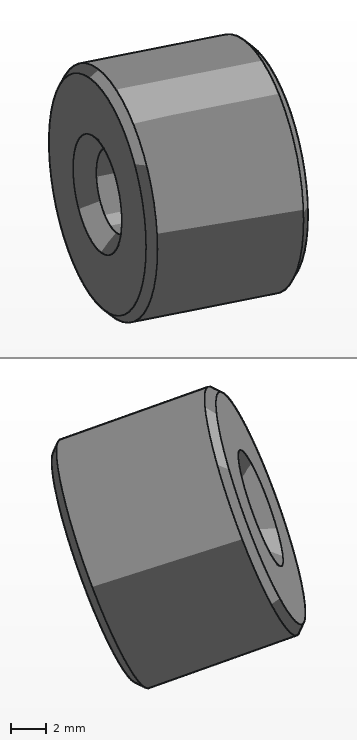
import cadquery as cq

outer_diameter = 15.0
length = 10.0
bore_diameter = 5.0
edge_chamfer = 0.5
bore_chamfer = 1.0

body = (
    cq.Workplane("XZ", origin=(0, length / 2, 0))
    .circle(outer_diameter / 2)
    .extrude(length)
    .edges("%CIRCLE")
    .chamfer(edge_chamfer)
)

bored_body = body.faces("<Y").workplane().hole(bore_diameter)

bore_mouths = bored_body.edges("%CIRCLE").edges(cq.selectors.RadiusNthSelector(0))
result = bore_mouths.chamfer(bore_chamfer)